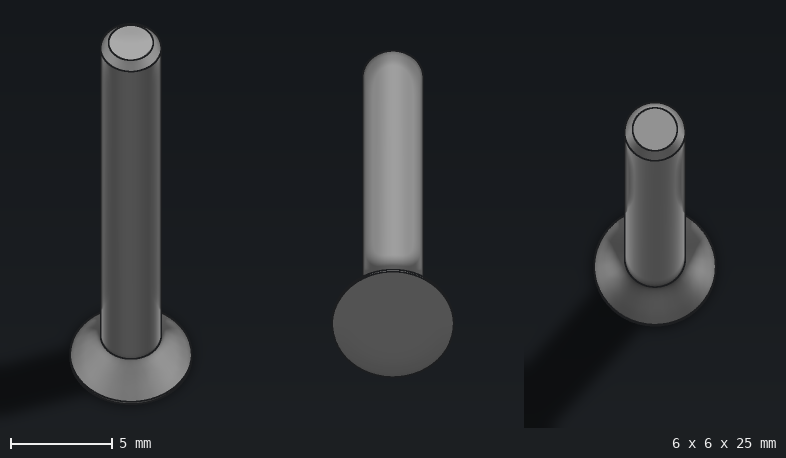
import cadquery as cq

total_length = 25.0
shank_diameter = 3.0
head_diameter = 6.0
head_rim_height = 0.2
tip_chamfer = 0.4

shank_radius = shank_diameter / 2
head_radius = head_diameter / 2
cone_height = head_radius - shank_radius
head_height = head_rim_height + cone_height
tip_radius = shank_radius - tip_chamfer

half_section = (
    cq.Workplane("XZ")
    .moveTo(0, 0)
    .lineTo(head_radius, 0)
    .lineTo(head_radius, head_rim_height)
    .lineTo(shank_radius, head_height)
    .lineTo(shank_radius, total_length - tip_chamfer)
    .lineTo(tip_radius, total_length)
    .lineTo(0, total_length)
    .close()
)

result = half_section.revolve(360, (0, 0, 0), (0, 1, 0))